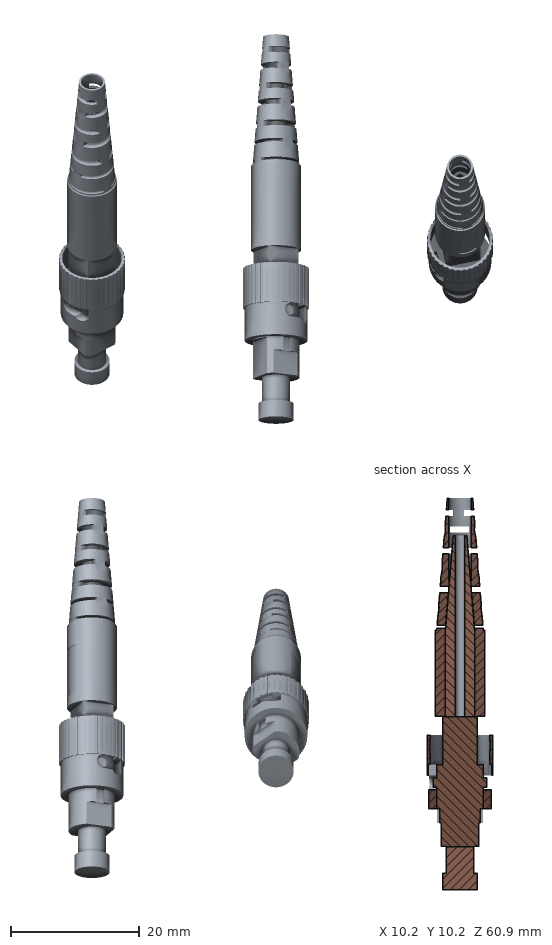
import cadquery as cq
import math


barrel_bottom = 6.75
nut_bottom = 12.6
nut_top = 24.05
boot_bottom = 27.0
overall_height = 60.9

cap_head_radius = 2.75
cap_head_height = 2.6
cap_stem_radius = 2.2

barrel_radius = 3.65
barrel_top = 19.5
wrench_flat_offset = 3.0
wrench_flat_height = 3.65
side_flat_offset = 2.85
side_flat_height = 5.7
keyway_width = 1.35
keyway_floor = 3.15
neck_x = 5.05
neck_y = 5.4
lug_radius = 0.8
lug_reach = 4.2
lug_height = 16.7

nut_radius = 4.9
grip_radius = 5.1
grip_bottom = 17.8
cup_radius = 4.6
bayonet_radius = 4.95
bayonet_clearance = 0.3
bayonet_end = 2.55
lobe_radius = 1.0
lobe_drop = 0.7
entry_left = -0.25
entry_right = 2.4
ridge_count = 36
groove_depth = 0.1

tube_top = 55.1
tube_top_radius = 1.1
tube_radius = 2.3
tube_bore_radius = 0.7

boot_diameter = 7.75
boot_radius = boot_diameter / 2
shoulder_height = 40.35
cone_base_radius = 3.65
cone_top_radius = 2.0
boot_bore_radius = 1.7
boot_turn = 7.0
rib_width = 1.65
label_width = 2.8
label_bottom = 28.55
label_height = 7.9
label_depth = 0.1
bend_slots = [(59.0, 0.9), (56.45, 0.9), (53.15, 0.9), (50.6, 0.9), (47.1, 0.9), (44.15, 0.55), (41.1, 0.4)]


def cylinder(radius, bottom, top):
    return cq.Workplane("XY").workplane(offset=bottom).circle(radius).extrude(top - bottom)


def block(x_min, x_max, y_min, y_max, z_min, z_max):
    size = (x_max - x_min, y_max - y_min, z_max - z_min)
    return cq.Workplane("XY").box(*size, centered=False).translate((x_min, y_min, z_min))


def rod_to_minus_y(radius, reach, x, z):
    return cq.Workplane("XZ").center(x, z).circle(radius).extrude(reach)


def half_turn(shape):
    return shape.rotate((0, 0, 0), (0, 0, 1), 180)


def make_dust_cap():
    head = cylinder(cap_head_radius, 0, cap_head_height)
    return head.union(cylinder(cap_stem_radius, cap_head_height, barrel_bottom))


def make_connector_body():
    body = cylinder(barrel_radius, barrel_bottom, barrel_top)
    neck_size = (neck_x, neck_y, boot_bottom - barrel_top)
    body = body.union(
        cq.Workplane("XY").box(*neck_size, centered=(True, True, False)).translate((0, 0, barrel_top))
    )

    flat_top = barrel_bottom + wrench_flat_height
    flat = block(
        -barrel_radius, barrel_radius, -barrel_radius, -wrench_flat_offset, barrel_bottom, flat_top
    )
    keyway = block(
        -keyway_width / 2, keyway_width / 2, -barrel_radius, -keyway_floor, flat_top, nut_bottom
    )
    lug = rod_to_minus_y(lug_radius, lug_reach, 0, lug_height)
    for cut in (flat, keyway):
        body = body.cut(cut).cut(half_turn(cut))
    body = body.union(lug).union(half_turn(lug))

    side_flat = block(
        side_flat_offset, barrel_radius, -barrel_radius, barrel_radius,
        barrel_bottom, barrel_bottom + side_flat_height,
    )
    return body.cut(side_flat)


def make_bayonet_slot():
    """The slot on the -Y side: a lug seat, a track ending in a lobe, and an entry from above."""
    seat_radius = lug_radius + bayonet_clearance
    seat = rod_to_minus_y(seat_radius, bayonet_radius, 0, lug_height)
    track = block(
        0, bayonet_end + lobe_radius, -bayonet_radius, 0, lug_height - seat_radius, lug_height + seat_radius
    )
    lobe = rod_to_minus_y(lobe_radius, bayonet_radius, bayonet_end, lug_height - lobe_drop)
    entry = block(entry_left, entry_right, -bayonet_radius, 0, lug_height, barrel_top)
    slot = seat.union(track).union(lobe).union(entry)
    return slot.intersect(cylinder(bayonet_radius, nut_bottom, barrel_top))


def make_coupling_nut():
    nut = cylinder(nut_radius, nut_bottom, grip_bottom)
    grip = cylinder(grip_radius, grip_bottom, nut_top)

    groove_width = math.pi * grip_radius / ridge_count
    groove = block(
        grip_radius - groove_depth, grip_radius + groove_depth, -groove_width / 2, groove_width / 2,
        grip_bottom, nut_top,
    )
    for index in range(ridge_count):
        angle = (index + 0.5) * 360 / ridge_count
        grip = grip.cut(groove.rotate((0, 0, 0), (0, 0, 1), angle))

    nut = nut.union(grip)
    nut = nut.cut(cylinder(barrel_radius, nut_bottom, barrel_top))
    nut = nut.cut(cylinder(cup_radius, barrel_top, nut_top))
    slot = make_bayonet_slot()
    return nut.cut(slot).cut(half_turn(slot))


def revolved_tube(bore_radius=0):
    """The lead-in tube, a straight foot and a long cone; without a bore it is the tube's seat."""
    return (
        cq.Workplane("XZ")
        .moveTo(bore_radius, boot_bottom)
        .lineTo(tube_radius, boot_bottom)
        .lineTo(tube_radius, shoulder_height)
        .lineTo(tube_top_radius, tube_top)
        .lineTo(bore_radius, tube_top)
        .close()
        .revolve(360, (0, 0, 0), (0, 1, 0))
    )


def make_lead_in_tube():
    return revolved_tube(tube_bore_radius)


def make_bend_slot(top, height, rib_angle):
    """A full ring around the boot, less the two ribs that stay across it."""
    ring = cylinder(boot_radius, top - height, top)
    rib = block(-boot_radius, boot_radius, -rib_width / 2, rib_width / 2, top - height, top)
    return ring.cut(rib.rotate((0, 0, 0), (0, 0, 1), rib_angle))


def make_boot():
    boot = (
        cq.Workplane("XZ")
        .moveTo(0, boot_bottom)
        .lineTo(boot_radius, boot_bottom)
        .lineTo(boot_radius, shoulder_height)
        .lineTo(cone_base_radius, shoulder_height)
        .lineTo(cone_top_radius, overall_height)
        .lineTo(0, overall_height)
        .close()
        .revolve(360, (0, 0, 0), (0, 1, 0))
    )
    for index, (top, height) in enumerate(bend_slots):
        boot = boot.cut(make_bend_slot(top, height, 90 * (index % 2)))

    cone_slope = (tube_radius - tube_top_radius) / (tube_top - shoulder_height)
    bore_bottom = tube_top - (boot_bore_radius - tube_top_radius) / cone_slope
    boot = boot.cut(cylinder(boot_bore_radius, bore_bottom, overall_height)).cut(revolved_tube())

    label_top = label_bottom + label_height
    label = block(-boot_radius, 0, -label_width / 2, label_width / 2, label_bottom, label_top)
    label = label.cut(cylinder(boot_radius - label_depth, label_bottom, label_top))
    return boot.cut(label).rotate((0, 0, 0), (0, 0, 1), boot_turn)


dust_cap = make_dust_cap()
connector_body = make_connector_body()
coupling_nut = make_coupling_nut()
lead_in_tube = make_lead_in_tube()
boot = make_boot()

result = cq.Compound.makeCompound(
    [dust_cap.val(), connector_body.val(), coupling_nut.val(), lead_in_tube.val(), boot.val()]
)